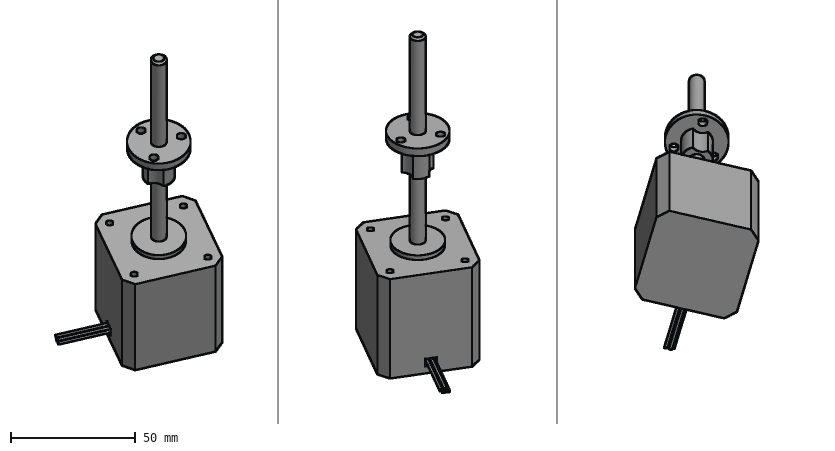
import cadquery as cq
import math

OVERALL_HEIGHT = 149.4

CASE_WIDTH = 42.3
CASE_HEIGHT = 48.0
CORNER_CHAMFER = 4.2
PILOT_DIAMETER = 22.0
PILOT_HEIGHT = 2.2
MOUNT_HOLE_SPACING = 31.0
MOUNT_HOLE_DIAMETER = 2.8
MOUNT_HOLE_DEPTH = 4.5

SCREW_DIAMETER = 6.4
SCREW_TIP_CHAMFER = 1.0

EXIT_WIDTH = 5.0
EXIT_HEIGHT = 3.6
EXIT_DEPTH = 1.0
EXIT_CENTER_Z = 5.2
WIRE_COUNT = 4
WIRE_DIAMETER = 1.3
WIRE_REACH = 21.8
WIRE_PITCH = 1.0
WIRE_STAGGER = 0.97
WIRE_CENTER_Z = 5.5

FLANGE_DIAMETER = 25.5
FLANGE_THICKNESS = 3.7
FLANGE_TOP_Z = 102.9
BARREL_DIAMETER = 13.0
BARREL_LENGTH = 15.2
NUT_HOLE_COUNT = 3
NUT_HOLE_DIAMETER = 3.6
NUT_HOLE_CIRCLE_DIAMETER = 19.0
FIRST_HOLE_ANGLE = 90.0
GROOVE_RADIUS = 5.0


def make_case():
    """Square motor case with chamfered corners, pilot boss and mounting holes."""
    case = (
        cq.Workplane("XY")
        .rect(CASE_WIDTH, CASE_WIDTH)
        .extrude(CASE_HEIGHT)
        .edges("|Z")
        .chamfer(CORNER_CHAMFER)
    )
    case = (
        case.faces(">Z")
        .workplane()
        .rect(MOUNT_HOLE_SPACING, MOUNT_HOLE_SPACING, forConstruction=True)
        .vertices()
        .hole(MOUNT_HOLE_DIAMETER, MOUNT_HOLE_DEPTH)
    )
    pilot = (
        cq.Workplane("XY", origin=(0, 0, CASE_HEIGHT))
        .circle(PILOT_DIAMETER / 2)
        .extrude(PILOT_HEIGHT)
    )
    exit_pocket = (
        cq.Workplane("XZ", origin=(0, -CASE_WIDTH / 2, EXIT_CENTER_Z))
        .rect(EXIT_WIDTH, EXIT_HEIGHT)
        .extrude(-EXIT_DEPTH)
    )
    return case.union(pilot).cut(exit_pocket)


def make_screw():
    """Lead screw rising from the case, with a chamfered tip."""
    return (
        cq.Workplane("XY", origin=(0, 0, CASE_HEIGHT))
        .circle(SCREW_DIAMETER / 2)
        .extrude(OVERALL_HEIGHT - CASE_HEIGHT)
        .faces(">Z")
        .chamfer(SCREW_TIP_CHAMFER)
    )


def make_wire(index):
    """One straight lead wire, running from the pocket floor out along -Y."""
    x = (index - (WIRE_COUNT - 1) / 2) * WIRE_PITCH
    side = 1 if index % 2 == 0 else -1
    z = WIRE_CENTER_Z + side * WIRE_STAGGER / 2
    return (
        cq.Workplane("XZ", origin=(x, -CASE_WIDTH / 2 + EXIT_DEPTH, z))
        .circle(WIRE_DIAMETER / 2)
        .extrude(EXIT_DEPTH + WIRE_REACH)
    )


def make_motor():
    """Motor case, lead screw and lead wires as one body."""
    motor = make_case().union(make_screw())
    for index in range(WIRE_COUNT):
        motor = motor.union(make_wire(index))
    return motor


def make_nut():
    """Flanged nut, bored to fit the screw, with a barrel groove under each flange hole."""
    flange_bottom_z = FLANGE_TOP_Z - FLANGE_THICKNESS
    barrel_bottom_z = flange_bottom_z - BARREL_LENGTH
    flange = (
        cq.Workplane("XY", origin=(0, 0, flange_bottom_z))
        .circle(FLANGE_DIAMETER / 2)
        .extrude(FLANGE_THICKNESS)
    )
    barrel = (
        cq.Workplane("XY", origin=(0, 0, barrel_bottom_z))
        .circle(BARREL_DIAMETER / 2)
        .extrude(BARREL_LENGTH)
    )
    for index in range(NUT_HOLE_COUNT):
        angle = math.radians(FIRST_HOLE_ANGLE + index * 360 / NUT_HOLE_COUNT)
        x = NUT_HOLE_CIRCLE_DIAMETER / 2 * math.cos(angle)
        y = NUT_HOLE_CIRCLE_DIAMETER / 2 * math.sin(angle)
        hole = (
            cq.Workplane("XY", origin=(x, y, flange_bottom_z))
            .circle(NUT_HOLE_DIAMETER / 2)
            .extrude(FLANGE_THICKNESS)
        )
        groove = (
            cq.Workplane("XY", origin=(x, y, barrel_bottom_z))
            .circle(GROOVE_RADIUS)
            .extrude(BARREL_LENGTH)
        )
        flange = flange.cut(hole)
        barrel = barrel.cut(groove)
    bore = (
        cq.Workplane("XY", origin=(0, 0, barrel_bottom_z))
        .circle(SCREW_DIAMETER / 2)
        .extrude(BARREL_LENGTH + FLANGE_THICKNESS)
    )
    return flange.union(barrel).cut(bore)


motor = make_motor()
nut = make_nut()
result = cq.Compound.makeCompound([motor.val(), nut.val()])